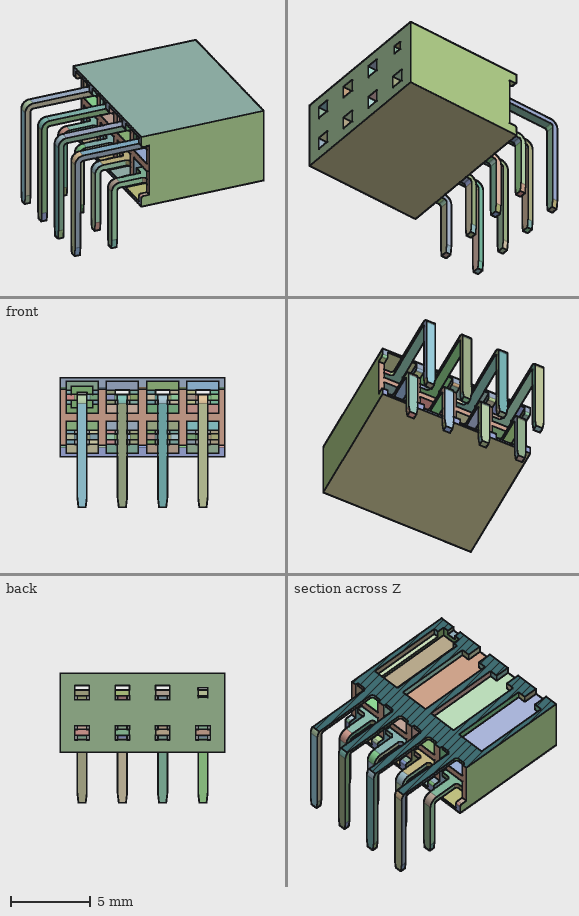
import cadquery as cq


overall_length = 12.6
overall_height = 8.2
housing_width = 10.41
housing_length = 8.49
housing_height = 5.0

contacts_per_row = 4
pitch = 2.55
contact_row_spacing = 2.5

lip_height = 0.74
notch_depth = 0.55
lip_radius = 0.15

cavity_size = 2.02
cavity_depth = 2.27
window_size = 0.9
mating_wall = 1.01
keyed_recess_size = 1.37
keyed_recess_wall = 0.5
keyed_hole_size = 0.6

pin_width = 0.62
pin_thickness = 0.38
bend_outer_radius = 0.57
bend_inner_radius = bend_outer_radius - pin_thickness
tip_length = 0.63
tip_width = 0.47
crossbar_setback = 0.74
crossbar_fillet = 0.19

lip_y = overall_length - housing_length
notch_y = lip_y + notch_depth
cavity_floor_y = lip_y + cavity_depth
slot_floor_y = overall_length - mating_wall
keyed_floor_y = overall_length - keyed_recess_wall
crossbar_y = lip_y + crossbar_setback
leg_bottom_z = housing_height / 2 - overall_height
column_xs = [(i - (contacts_per_row - 1) / 2) * pitch for i in range(contacts_per_row)]


def block(x, z, width, height, y_start, y_end):
    """Box centred on (x, z) in section, running along Y from y_start to y_end."""
    length = y_end - y_start
    return cq.Workplane("XY").box(width, length, height).translate((x, y_start + length / 2, z))


def make_housing_shell():
    """Solid housing whose rear end is notched, leaving a rounded lip above and below."""
    shell = block(0, 0, housing_width, housing_height, lip_y, overall_length)
    notch = block(0, 0, housing_width, housing_height - 2 * lip_height, lip_y, notch_y)
    shell = shell.cut(notch)
    lip_edges = cq.selectors.BoxSelector(
        (-housing_width, lip_y - lip_radius, -housing_height / 2 + lip_radius),
        (housing_width, lip_y + lip_radius, housing_height / 2 - lip_radius),
    )
    return shell.edges("|X").edges(lip_edges).fillet(lip_radius)


def make_cavity(x, z, keyed):
    """Square rear cavity, a flat contact slot behind it, and an opening to the mating face."""
    cavity = block(x, z, cavity_size, cavity_size, lip_y, cavity_floor_y)
    cavity = cavity.union(block(x, z, cavity_size, window_size, cavity_floor_y, slot_floor_y))
    if keyed:
        recess = block(x, z, keyed_recess_size, keyed_recess_size, cavity_floor_y, keyed_floor_y)
        opening = block(x, z, keyed_hole_size, keyed_hole_size, keyed_floor_y, overall_length)
        return cavity.union(recess).union(opening)
    return cavity.union(block(x, z, window_size, window_size, slot_floor_y, overall_length))


def make_crossbar(x, z):
    """Flat plate across the cavity, with a stub of pin blended in by concave fillets."""
    half_pin = pin_width / 2
    half_cavity = cavity_size / 2
    fillet_y = crossbar_y - crossbar_fillet
    fillet_x = half_pin + crossbar_fillet
    return (
        cq.Workplane("XY", origin=(x, 0, z - pin_thickness / 2))
        .moveTo(half_pin, fillet_y)
        .radiusArc((fillet_x, crossbar_y), crossbar_fillet)
        .lineTo(half_cavity, crossbar_y)
        .lineTo(half_cavity, cavity_floor_y)
        .lineTo(-half_cavity, cavity_floor_y)
        .lineTo(-half_cavity, crossbar_y)
        .lineTo(-fillet_x, crossbar_y)
        .radiusArc((-half_pin, fillet_y), crossbar_fillet)
        .close()
        .extrude(pin_thickness)
    )


def make_bent_pin(x, z, leg_y):
    """Pin leaving the crossbar to the rear and bending down, with a tip narrowed in X."""
    top_z = z + pin_thickness / 2
    under_z = z - pin_thickness / 2
    inner_y = leg_y + pin_thickness
    bend_y = leg_y + bend_outer_radius
    bend_z = top_z - bend_outer_radius
    pin = (
        cq.Workplane("YZ", origin=(x, 0, 0))
        .moveTo(crossbar_y, top_z)
        .lineTo(bend_y, top_z)
        .radiusArc((leg_y, bend_z), -bend_outer_radius)
        .lineTo(leg_y, leg_bottom_z)
        .lineTo(inner_y, leg_bottom_z)
        .lineTo(inner_y, bend_z)
        .radiusArc((bend_y, under_z), bend_inner_radius)
        .lineTo(crossbar_y, under_z)
        .close()
        .extrude(pin_width / 2, both=True)
    )
    return pin.intersect(make_tip_envelope(x, z, leg_y))


def make_tip_envelope(x, z, leg_y):
    """Outline of the pin across X: straight down to the tip, then tapering to its end."""
    half_pin = pin_width / 2
    half_tip = tip_width / 2
    top_z = z + pin_thickness / 2
    tip_z = leg_bottom_z + tip_length
    return (
        cq.Workplane("XZ", origin=(x, crossbar_y, 0))
        .polyline([
            (-half_pin, top_z),
            (half_pin, top_z),
            (half_pin, tip_z),
            (half_tip, leg_bottom_z),
            (-half_tip, leg_bottom_z),
            (-half_pin, tip_z),
        ])
        .close()
        .extrude(crossbar_y - leg_y)
    )


result = make_housing_shell()
for side, leg_y in [(1, 0.0), (-1, pitch)]:
    cavity_z = side * pitch / 2
    contact_z = side * contact_row_spacing / 2
    for column, column_x in enumerate(column_xs):
        is_keyed = side == 1 and column == 0
        result = result.cut(make_cavity(column_x, cavity_z, is_keyed))
        result = result.union(make_crossbar(column_x, contact_z))
        result = result.union(make_bent_pin(column_x, contact_z, leg_y))